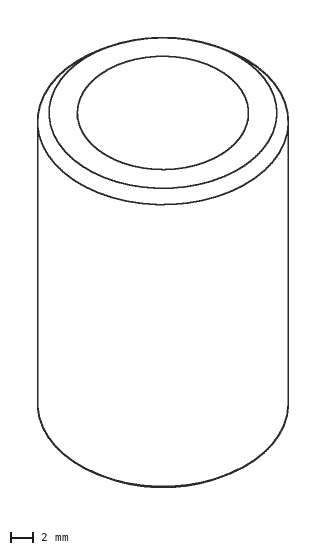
import cadquery as cq

length = 35.0
outer_diameter = 22.0
bore_diameter = 15.0
chamfer = 1.0

body = cq.Workplane("XY").circle(outer_diameter / 2).extrude(length)
body = body.faces("<Z or >Z").chamfer(chamfer)

result = body.faces(">Z").workplane().hole(bore_diameter)